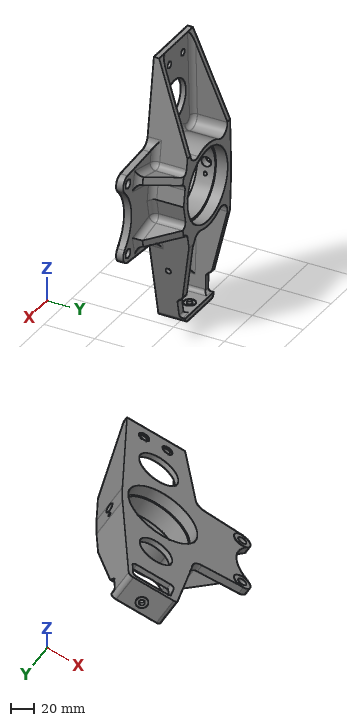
import cadquery as cq
import math

depth = 40.2
top_z = 129.2
bottom_z = -134.5
overshoot = 52.8
select_reach = 1.3

left_x = -42.0
left_flat_top_z = 7.5
left_flat_bottom_z = -15.5
top_left_x = -37.3
top_right_x = 23.2
right_apex_x = 42.8
bottom_left_x = -35.5
bottom_right_x = 14.8
foot_corner_radius = 4.8

web_thickness = 5.3
upper_taper_z = 45.0
lower_taper_z = -45.5
foot_depth = 26.7
notch_depth = 21.1
notch_start_z = -107.0
notch_top_z = -112.3
notch_fillet = 3.0
foot_top_z = -129.7

wall = 5.0
lower_right_wall = 7.7
boss_radius = 41.0
pocket_overlap = 0.3
boss_fillet = 10.0
pocket_corner_radius = 4.0
pocket_floor_fillet = 5.0
window_top_z = -110.0

arm_thickness = 7.5
lug_x = 82.7
lug_z = 35.0
lug_radius = 8.7
lug_hole_radius = 4.2
lug_spot_depth = 0.3
arm_edge_angle = 4.7
arm_corner_radius = 10.0
scallop_x = 76.5

rib_angle = 12.5
rib_thickness = 7.5
rib_full_height_distance = 40.2
rib_end_distance = 15.9
rib_end_depth = 13.5
rib_fillet = 6.0

bore_radius = 34.0
bearing_radius = 36.0
bearing_depth = 11.4
upper_hole = (-4.2, 72.5, 20.3)
lower_hole = (-7.1, -68.5, 17.0)
top_hole_xs = (-19.3, 4.8)
top_hole_z = 113.0
top_hole_radius = 3.2
top_hole_sink_radius = 5.3
top_hole_sink_depth = 1.0
side_hole_y = 20.0
side_hole_radius = 4.8
pin_hole_z = -11.0
pin_hole_radius = 1.5
wall_hole_y = 15.9
wall_hole_z = -79.5
wall_hole_radius = 2.6
wall_hole_sink_radius = 4.5
wall_hole_sink_depth = 2.0
foot_hole_x = -10.5
foot_hole_y = 16.6
foot_hole_radius = 2.6
foot_boss_radius = 5.5
foot_boss_height = 0.5


def prism(points, y_start, y_end):
    """Extrude a closed X-Z polygon from y_start to y_end."""
    plane = cq.Workplane("XZ", origin=(0, y_start, 0))
    return plane.polyline(points).close().extrude(y_start - y_end)


def cylinder_y(x, z, radius, y_start, y_end):
    plane = cq.Workplane("XZ", origin=(x, y_start, z))
    return plane.circle(radius).extrude(y_start - y_end)


def cylinder_x(y, z, radius, x_start, x_end):
    return cq.Workplane("YZ", origin=(x_start, y, z)).circle(radius).extrude(x_end - x_start)


def corner_edge(solid, x, z):
    """The edge along Y that passes through (x, z)."""
    low = (x - select_reach, -overshoot, z - select_reach)
    high = (x + select_reach, 3 * overshoot, z + select_reach)
    box = cq.selectors.BoxSelector(low, high)
    return solid.edges("|Y").edges(box)


def spine_left(z):
    """X of the outer left side, on its upper or lower slanted line."""
    if z > 0:
        return left_x + (top_left_x - left_x) * (z - left_flat_top_z) / (top_z - left_flat_top_z)
    return left_x + (bottom_left_x - left_x) * (z - left_flat_bottom_z) / (bottom_z - left_flat_bottom_z)


def spine_right(z):
    end_x, end_z = (top_right_x, top_z) if z > 0 else (bottom_right_x, bottom_z)
    return right_apex_x + (end_x - right_apex_x) * z / end_z


def meet_spine(x, z, slope):
    """X-Z point where a line through (x, z) meets the outer right side on the same side of Z = 0."""
    far_x = spine_right(math.copysign(top_z, z))
    lean = (far_x - right_apex_x) / math.copysign(top_z, z)
    meeting_z = (z + slope * (right_apex_x - x)) / (1 - slope * lean)
    return spine_right(meeting_z), meeting_z


spine_points = [
    (top_left_x, top_z), (top_right_x, top_z), (right_apex_x, 0), (bottom_right_x, bottom_z),
    (bottom_left_x, bottom_z), (left_x, left_flat_bottom_z), (left_x, left_flat_top_z),
]


def spine(y_start, y_end):
    body = prism(spine_points, y_start, y_end)
    return body.edges("|Y and <Z").fillet(foot_corner_radius)


def side_profile():
    """Y-Z profile of the part: tapered ends and the notch above the foot."""
    return (
        cq.Workplane("YZ", origin=(-2 * overshoot, 0, 0))
        .moveTo(-overshoot, bottom_z)
        .lineTo(foot_depth, bottom_z)
        .lineTo(foot_depth, foot_top_z)
        .lineTo(notch_depth + notch_fillet, foot_top_z)
        .radiusArc((notch_depth, foot_top_z + notch_fillet), notch_fillet)
        .lineTo(notch_depth, notch_top_z)
        .lineTo(foot_depth, notch_start_z)
        .lineTo(depth, lower_taper_z)
        .lineTo(depth, upper_taper_z)
        .lineTo(web_thickness, top_z)
        .lineTo(-overshoot, top_z)
        .close()
        .extrude(4 * overshoot)
    )


def arm_plan():
    """Full-depth plan of the spine with the arm, lugs and concave end."""
    angle = math.radians(arm_edge_angle)
    tangent_x = lug_x + lug_radius * math.sin(angle)
    tangent_z = lug_z + lug_radius * math.cos(angle)
    root_z = tangent_z + tangent_x * math.tan(angle)
    reach = lug_x - scallop_x
    scallop_radius = (reach**2 + lug_z**2 - lug_radius**2) / (2 * (lug_radius + reach))
    scallop_centre = scallop_x + scallop_radius
    share = lug_radius / (lug_radius + scallop_radius)
    neck_x = lug_x + share * (scallop_centre - lug_x)
    neck_z = lug_z * (1 - share)
    upper = [(0, root_z), (tangent_x, tangent_z), (neck_x, neck_z)]
    lower = [(x, -z) for x, z in reversed(upper)]
    arm = prism(upper + lower, 0, depth)
    arm = arm.cut(cylinder_y(scallop_centre, 0, scallop_radius, -overshoot, 2 * overshoot))
    for side in (1, -1):
        arm = arm.union(cylinder_y(lug_x, side * lug_z, lug_radius, 0, depth))
    plan = spine(0, depth).union(arm)
    for side in (1, -1):
        x, z = meet_spine(0, side * root_z, -side * math.tan(angle))
        plan = corner_edge(plan, x, z).fillet(arm_corner_radius)
    return plan


def rib_frame(side):
    """X-Z point at a distance back from a lug centre and an offset across the rib."""
    angle = math.radians(rib_angle)

    def place(distance, offset):
        x = lug_x - distance * math.cos(angle) + offset * math.sin(angle)
        z = lug_z - distance * math.sin(angle) - offset * math.cos(angle)
        return (x, side * z)

    return place


def rib(side):
    place = rib_frame(side)
    half = rib_thickness / 2
    corners = [
        place(overshoot, half), place(overshoot, -half),
        place(rib_end_distance, -half), place(rib_end_distance, half),
    ]
    return prism(corners, -overshoot, 2 * overshoot)


def arm_clearance():
    """Space behind the arm, around the spine and both ribs, with rounded inner edges."""
    far = 3 * overshoot
    space = prism([(0, far), (far, far), (far, -far), (0, -far)], arm_thickness, 2 * overshoot)
    space = space.cut(prism(spine_points, -overshoot, 3 * overshoot))
    for side in (1, -1):
        space = space.cut(rib(side))
    for side in (1, -1):
        slope = side * math.tan(math.radians(rib_angle))
        for offset in (rib_thickness / 2, -rib_thickness / 2):
            side_x, side_z = rib_frame(side)(rib_end_distance, offset)
            x, z = meet_spine(side_x, side_z, slope)
            space = corner_edge(space, x, z).fillet(rib_fillet)
    inner_low = (select_reach, 0, -2 * overshoot)
    inner_high = (2 * overshoot, depth, 2 * overshoot)
    floor_box = cq.selectors.BoxSelector(inner_low, inner_high)
    return space.faces("<Y").edges(floor_box).fillet(rib_fillet)


def rib_slope(side):
    """Space above a rib, from full depth beside the boss down to its end."""
    profile = [
        (-rib_full_height_distance, depth), (-rib_end_distance, rib_end_depth), (overshoot, rib_end_depth),
        (overshoot, depth + overshoot), (-rib_full_height_distance, depth + overshoot),
    ]
    plane = cq.Workplane("XY", origin=(0, 0, -rib_thickness))
    wedge = plane.polyline(profile).close().extrude(2 * rib_thickness)
    return wedge.rotate((0, 0, 0), (0, 1, 0), -side * rib_angle).translate((lug_x, 0, side * lug_z))


def pocket_points(far_z, near_z, right_wall):
    return [
        (spine_left(far_z) + wall, far_z), (spine_right(far_z) - right_wall, far_z),
        (spine_right(near_z) - right_wall, near_z), (spine_left(near_z) + wall, near_z),
    ]


def pocket(far_z, right_wall):
    """Pocket between the side walls, from the boss out to far_z, with rounded corners and floor."""
    near_z = math.copysign(pocket_overlap, far_z)
    space = prism(pocket_points(far_z, near_z, right_wall), web_thickness, 2 * overshoot)
    space = space.cut(cylinder_y(0, 0, boss_radius, -overshoot, 3 * overshoot))
    boss_band = cq.selectors.BoxSelector((left_x, 0, -boss_radius), (right_apex_x, 3 * overshoot, boss_radius))
    space = space.edges("|Y").edges(boss_band).fillet(boss_fillet)
    end_edges = ">Z" if far_z > 0 else "<Z"
    space = space.edges("|Y").edges(end_edges).fillet(pocket_corner_radius)
    return space.faces("<Y").edges().fillet(pocket_floor_fillet)


def window():
    points = pocket_points(foot_top_z, window_top_z, lower_right_wall)
    return prism(points, -overshoot, depth).edges("|Y").fillet(pocket_corner_radius)


def round_openings():
    """Bore with its two bearing seats and the two lightening holes."""
    openings = cylinder_y(0, 0, bore_radius, -overshoot, 2 * overshoot)
    openings = openings.union(cylinder_y(0, 0, bearing_radius, -overshoot, bearing_depth))
    openings = openings.union(cylinder_y(0, 0, bearing_radius, depth - bearing_depth, 2 * overshoot))
    for x, z, radius in (upper_hole, lower_hole):
        openings = openings.union(cylinder_y(x, z, radius, -overshoot, depth))
    return openings


def foot_cylinder(radius, z_start, z_end):
    """Upright cylinder on the axis of the foot screw."""
    plane = cq.Workplane("XY", origin=(foot_hole_x, foot_hole_y, z_start))
    return plane.circle(radius).extrude(z_end - z_start)


def screw_holes():
    """All screw and pin holes with their recesses, as separate cutting cylinders."""
    holes = cq.Workplane("XY")
    for x in top_hole_xs:
        holes = holes.add(cylinder_y(x, top_hole_z, top_hole_radius, -overshoot, depth))
        holes = holes.add(cylinder_y(x, top_hole_z, top_hole_sink_radius, -overshoot, top_hole_sink_depth))
    for side in (1, -1):
        holes = holes.add(cylinder_y(lug_x, side * lug_z, lug_hole_radius, -overshoot, depth))
        holes = holes.add(cylinder_y(lug_x, side * lug_z, lug_radius, -overshoot, lug_spot_depth))
    holes = holes.add(cylinder_x(side_hole_y, 0, side_hole_radius, 2 * left_x, 0))
    holes = holes.add(cylinder_x(side_hole_y, pin_hole_z, pin_hole_radius, 2 * left_x, 0))
    wall_inner_x = spine_right(wall_hole_z) - lower_right_wall
    holes = holes.add(cylinder_x(wall_hole_y, wall_hole_z, wall_hole_radius, 0, overshoot))
    sink_end = wall_inner_x + wall_hole_sink_depth
    holes = holes.add(cylinder_x(wall_hole_y, wall_hole_z, wall_hole_sink_radius, 0, sink_end))
    holes = holes.add(foot_cylinder(foot_hole_radius, bottom_z - overshoot, foot_top_z))
    return holes.add(foot_cylinder(foot_boss_radius, foot_top_z - foot_boss_height, foot_top_z))


result = arm_plan().cut(arm_clearance())
for side in (1, -1):
    result = result.cut(rib_slope(side))
result = result.intersect(side_profile())
result = result.cut(pocket(top_z + overshoot, wall))
result = result.cut(pocket(foot_top_z, lower_right_wall).union(window()))
result = result.cut(round_openings())
result = result.union(foot_cylinder(foot_boss_radius, bottom_z - foot_boss_height, bottom_z))
for hole in screw_holes().vals():
    result = result.cut(cq.Workplane(hole))